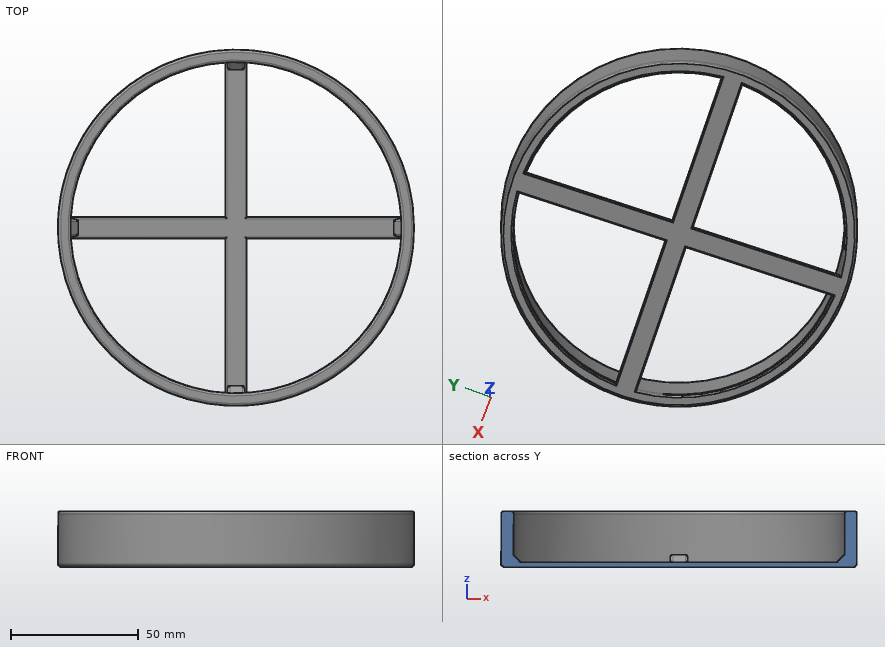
import cadquery as cq

outer_diameter = 139.5
inner_diameter = 129.5
ring_height = 22.0
ring_top_fillet = 1.0
ring_bottom_chamfer = 1.0
ring_chamfer_blend = 1.0

spoke_count = 4
spoke_width = 8.5
spoke_thickness = 2.0
spoke_top_fillet = 0.7
spoke_bottom_chamfer = 0.5
spoke_chamfer_blend = 0.5

wedge_leg = 3.0
wedge_width = 7.0
wedge_fillet = 1.0

outer_radius = outer_diameter / 2
inner_radius = inner_diameter / 2
mid_wall_radius = (outer_radius + inner_radius) / 2


def soften_bottom(body, chamfer, blend, edge_kind):
    """Chamfer the bottom edges of a body standing on Z = 0, then round where the chamfers meet its sides."""
    body = body.faces("<Z").edges(edge_kind).chamfer(chamfer)
    chamfer_tops = cq.selectors.BoxSelector(
        (-outer_radius, -outer_radius, 0.9 * chamfer),
        (outer_radius, outer_radius, 1.1 * chamfer),
    )
    return body.edges(edge_kind).edges(chamfer_tops).fillet(blend)


def make_ring():
    """Ring with rounded top edges and softened chamfers on its bottom edges."""
    ring = cq.Workplane("XY").circle(outer_radius).circle(inner_radius).extrude(ring_height)
    ring = ring.faces(">Z").edges().fillet(ring_top_fillet)
    return soften_bottom(ring, ring_bottom_chamfer, ring_chamfer_blend, "%CIRCLE")


def make_bar():
    """Bar along X, spanning two opposite spokes, with rounded top and softened bottom edges."""
    bar = cq.Workplane("XY").rect(2 * mid_wall_radius, spoke_width).extrude(spoke_thickness)
    bar = bar.faces(">Z").edges("|X").fillet(spoke_top_fillet)
    return soften_bottom(bar, spoke_bottom_chamfer, spoke_chamfer_blend, "|X")


def make_cross():
    """Two crossing bars whose ends lie inside the ring wall."""
    bar = make_bar()
    return bar.union(bar.rotate((0, 0, 0), (0, 0, 1), 90))


def make_wedge():
    """Ramp at the +X spoke end, rising at 45 degrees to the ring wall, with rounded sides."""
    toe = inner_radius - wedge_leg
    run = mid_wall_radius - toe
    wedge = (
        cq.Workplane("XZ")
        .moveTo(toe, spoke_thickness)
        .lineTo(mid_wall_radius, spoke_thickness)
        .lineTo(mid_wall_radius, spoke_thickness + run)
        .close()
        .extrude(wedge_width / 2, both=True)
    )
    return wedge.faces("<X").edges("not |Y").fillet(wedge_fillet)


result = make_ring().union(make_cross())
wedge = make_wedge()
for i in range(spoke_count):
    result = result.union(wedge.rotate((0, 0, 0), (0, 0, 1), i * 360 / spoke_count))